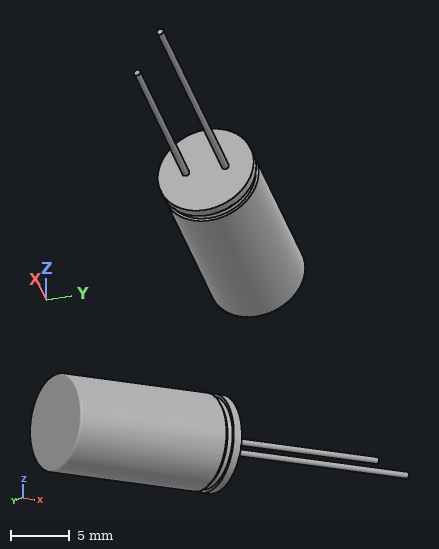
import cadquery as cq

OVERALL_LENGTH = 36.0
BODY_LENGTH = 16.0
BODY_RADIUS = 8.5 / 2
END_FILLET = 0.18

GROOVE_START = -1.55
GROOVE_END = -0.8
GROOVE_MIDDLE = (GROOVE_START + GROOVE_END) / 2
GROOVE_WALL_DEPTH = 0.25
GROOVE_DEPTH = 0.4
GROOVE_WALL_RADIUS = BODY_RADIUS - GROOVE_WALL_DEPTH
GROOVE_FLOOR_RADIUS = BODY_RADIUS - GROOVE_DEPTH

LEAD_DIAMETER = 0.6
LEAD_PITCH = 3.5
LONG_LEAD_LENGTH = OVERALL_LENGTH - BODY_LENGTH
SHORT_LEAD_LENGTH = 14.95


def make_blank():
    """Full cylindrical body with the crimp groove and the rounded closed end."""
    cylinder = cq.Workplane("YZ", origin=(-BODY_LENGTH, 0, 0)).circle(BODY_RADIUS).extrude(BODY_LENGTH)
    cylinder = cylinder.faces("<X").edges().fillet(END_FILLET)
    groove = (
        cq.Workplane("XY")
        .moveTo(GROOVE_START, BODY_RADIUS)
        .lineTo(GROOVE_START, GROOVE_WALL_RADIUS)
        .threePointArc((GROOVE_MIDDLE, GROOVE_FLOOR_RADIUS), (GROOVE_END, GROOVE_WALL_RADIUS))
        .lineTo(GROOVE_END, BODY_RADIUS)
        .close()
        .revolve(360, (0, 0, 0), (1, 0, 0))
    )
    return cylinder.cut(groove)


def make_base_zone():
    """Cylinder enclosing the part of the body between the groove middle and X = 0."""
    return cq.Workplane("YZ", origin=(GROOVE_MIDDLE, 0, 0)).circle(BODY_RADIUS).extrude(-GROOVE_MIDDLE)


def make_can():
    """Closed end of the body, up to the middle of the groove."""
    return make_blank().cut(make_base_zone())


def make_base():
    """Lead end of the body, from the middle of the groove."""
    return make_blank().intersect(make_base_zone())


def make_lead(y, length):
    """Straight round lead standing on the base."""
    return cq.Workplane("YZ", origin=(0, y, 0)).circle(LEAD_DIAMETER / 2).extrude(length)


can = make_can()
base = make_base()
lead_places = [(LEAD_PITCH / 2, LONG_LEAD_LENGTH), (-LEAD_PITCH / 2, SHORT_LEAD_LENGTH)]
leads = [make_lead(y, length).val() for y, length in lead_places]

result = cq.Compound.makeCompound([can.val(), base.val(), *leads])